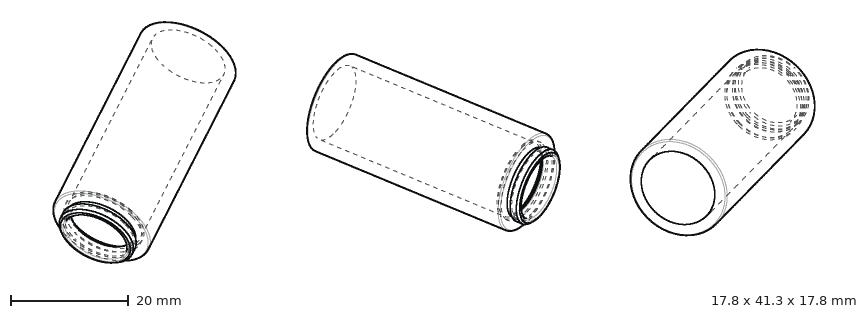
import cadquery as cq

TOTAL_LENGTH = 41.3
BARREL_RADIUS = 17.8 / 2
EDGE_ROUND = 0.3

LIP_RADIUS = 6.8
LIP_LENGTH = 1.65
LIP_CHAMFER = 0.4
BARREL_START = 2.5
RELIEF_DEPTH = 0.4
NECK_RADIUS = LIP_RADIUS - RELIEF_DEPTH

MOUTH_RADIUS = 5.7
MOUTH_LENGTH = 3.25
WIDE_BORE_RADIUS = 6.77
WIDE_BORE_START = 4.1
INNER_RELIEF_RADIUS = WIDE_BORE_RADIUS + RELIEF_DEPTH


def cylinder(radius, start, end):
    """Solid cylinder on the Y axis, from Y = start to Y = end."""
    return cq.Workplane("XZ", origin=(0, start, 0)).circle(radius).extrude(start - end)


def make_outside():
    """Rounded barrel with the grooved, chamfered lip on its male end."""
    barrel = cylinder(BARREL_RADIUS, BARREL_START, TOTAL_LENGTH).edges("%CIRCLE").fillet(EDGE_ROUND)
    neck = cylinder(NECK_RADIUS, LIP_LENGTH, BARREL_START)
    lip = cylinder(LIP_RADIUS, 0, LIP_LENGTH).faces("<Y").edges().chamfer(LIP_CHAMFER)
    return barrel.union(neck).union(lip)


def make_mouth_cutter():
    """Narrow bore whose two ends flare out, so that it leaves rounded edges."""
    flare_radius = MOUTH_RADIUS + EDGE_ROUND
    profile = (
        cq.Workplane("XY")
        .moveTo(0, 0)
        .lineTo(flare_radius, 0)
        .radiusArc((MOUTH_RADIUS, EDGE_ROUND), EDGE_ROUND)
        .lineTo(MOUTH_RADIUS, MOUTH_LENGTH - EDGE_ROUND)
        .radiusArc((flare_radius, MOUTH_LENGTH), EDGE_ROUND)
        .lineTo(0, MOUTH_LENGTH)
        .close()
    )
    return profile.revolve(360, (0, 0, 0), (0, 1, 0))


def make_lens_tube():
    """Hollow lens tube, open at both ends."""
    inner_relief = cylinder(INNER_RELIEF_RADIUS, MOUTH_LENGTH, WIDE_BORE_START)
    wide_bore = cylinder(WIDE_BORE_RADIUS, WIDE_BORE_START, TOTAL_LENGTH)
    return make_outside().cut(make_mouth_cutter()).cut(inner_relief).cut(wide_bore)


lens_tube = make_lens_tube()

result = cq.Compound.makeCompound([lens_tube.solids().val()])